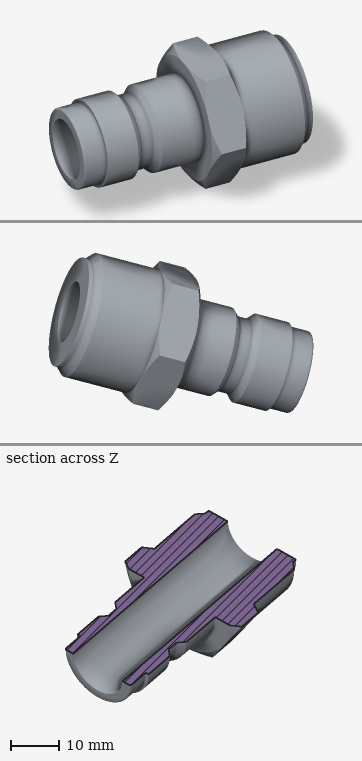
import cadquery as cq
import math

LENGTH = 51.0
BORE_DIAMETER = 13.05

TIP_RADIUS = 17.55 / 2
TIP_LENGTH = 5.0
TIP_EDGE_RADIUS = 0.45
PLUG_RADIUS = 19.0 / 2
GROOVE_RADIUS = 16.1 / 2
GROOVE_START = 13.5
GROOVE_END = 16.0
GROOVE_DEPTH = PLUG_RADIUS - GROOVE_RADIUS

HEX_FLATS = 27.0
HEX_START = 27.0
HEX_END = 35.0
HEX_CHAMFER_ANGLE = 30.0

BODY_RADIUS = 26.5 / 2
RIM_RADIUS = 23.35 / 2
RIM_LENGTH = 1.0
BODY_TAPER = BODY_RADIUS - RIM_RADIUS
RIM_START = LENGTH - RIM_LENGTH


def revolve_about_y(profile):
    """Revolve a closed (radius, y) profile around the Y axis."""
    return profile.close().revolve(360, (0, 0, 0), (0, 1, 0))


def turned_body():
    arc_offset = TIP_EDGE_RADIUS * (1 - math.sqrt(0.5))
    profile = (
        cq.Workplane("XY")
        .lineTo(TIP_RADIUS - TIP_EDGE_RADIUS, 0)
        .threePointArc((TIP_RADIUS - arc_offset, arc_offset), (TIP_RADIUS, TIP_EDGE_RADIUS))
        .lineTo(TIP_RADIUS, TIP_LENGTH)
        .lineTo(PLUG_RADIUS, TIP_LENGTH)
        .lineTo(PLUG_RADIUS, GROOVE_START - GROOVE_DEPTH)
        .lineTo(GROOVE_RADIUS, GROOVE_START)
        .lineTo(GROOVE_RADIUS, GROOVE_END)
        .lineTo(PLUG_RADIUS, GROOVE_END + GROOVE_DEPTH)
        .lineTo(PLUG_RADIUS, HEX_START)
        .lineTo(BODY_RADIUS, HEX_START)
        .lineTo(BODY_RADIUS, RIM_START - BODY_TAPER)
        .lineTo(RIM_RADIUS, RIM_START)
        .lineTo(RIM_RADIUS, LENGTH)
        .lineTo(0, LENGTH)
    )
    return revolve_about_y(profile)


def along_y(start):
    """Sketch plane at y = start whose extrusions run toward +Y."""
    return cq.Workplane("XZ", origin=(0, start, 0)).transformed(rotate=(180, 0, 0))


def chamfered_hexagon():
    corner_radius = HEX_FLATS / math.sqrt(3)
    flat_radius = HEX_FLATS / 2
    chamfer_length = (corner_radius - flat_radius) * math.tan(math.radians(HEX_CHAMFER_ANGLE))
    prism = along_y(HEX_START).polygon(6, 2 * corner_radius).extrude(HEX_END - HEX_START)
    envelope = revolve_about_y(
        cq.Workplane("XY")
        .moveTo(0, HEX_START)
        .lineTo(flat_radius, HEX_START)
        .lineTo(corner_radius, HEX_START + chamfer_length)
        .lineTo(corner_radius, HEX_END - chamfer_length)
        .lineTo(flat_radius, HEX_END)
        .lineTo(0, HEX_END)
    )
    return prism.intersect(envelope)


bore = along_y(0).circle(BORE_DIAMETER / 2).extrude(LENGTH)

result = turned_body().union(chamfered_hexagon()).cut(bore)